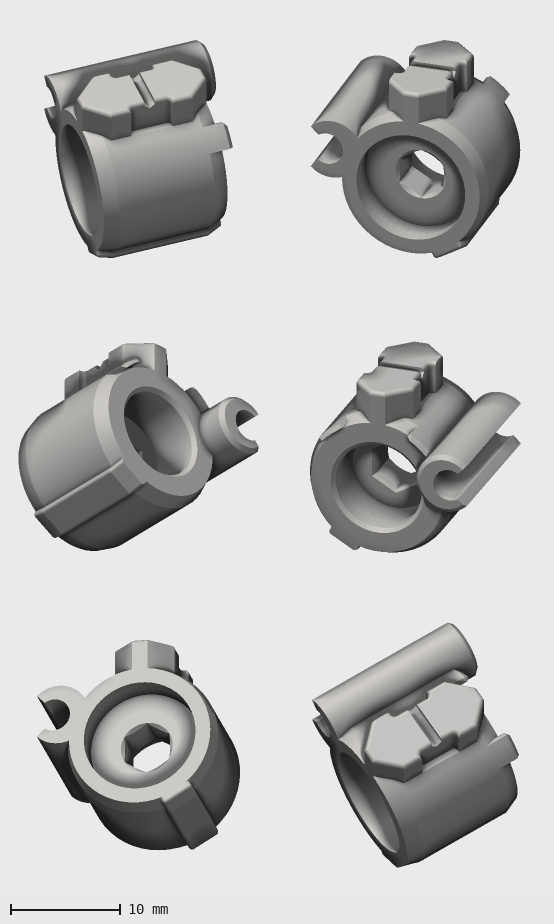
import cadquery as cq
import math

body_length = 12.0
edge_break = 0.4

ring_radius = 7.0
front_taper_length = 1.45
front_taper_drop = 0.42
rear_taper_length = 1.36
rear_taper_drop = 0.61
front_bore_radius = 5.2
front_bore_depth = 2.99

rear_bore_diameter = 8.3
rear_bore_mouth_diameter = 9.0
rear_bore_depth = 5.0
hex_flats = 4.19
hex_chamfer = 0.23

clip_length = 15.0
clip_radius = 2.83
clip_x = -7.58
clip_z = 2.73
clip_hole_radius = 1.51
clip_hole_x = -8.01

block_half_width = 2.78
block_top = 9.47
block_corner_cut = 2.06
block_root = 4.99
grip_length = 3.95
grip_depth = 0.6
grip_floor = math.sqrt(ring_radius**2 - block_half_width**2)
notch_half_width = 0.5
notch_wall = 0.4
notch_depth = 0.8

pad_height = 7.5
pad_half_width = 1.53
pad_root = 5.98
pad_fillet = 0.3
pad_angle = 30

tooth_tip = 13.0
tooth_inner_radius = ring_radius - edge_break
tooth_slant = 30
tooth_low_side = 1.18
tooth_high_side = ring_radius / 2

middle_y = body_length / 2
taper_end = body_length - rear_taper_length
hex_corner_ratio = 1 / math.cos(math.pi / 6)
select_margin = 0.02


def revolved(points):
    """Solid of revolution about the Y axis from (radius, y) points."""
    return cq.Workplane("XY").polyline(points).close().revolve(360, (0, 0, 0), (0, 1, 0))


def section(y):
    """Sketch plane across the ring axis; a negative extrusion runs towards the rear."""
    return cq.Workplane("XZ", origin=(0, y, 0))


def hexagon(y, flats):
    """Hexagon sketch with corners pointing up and down."""
    return section(y).transformed(rotate=(0, 0, 90)).polygon(6, flats * hex_corner_ratio)


def make_ring():
    return revolved([
        (0, 0),
        (ring_radius - front_taper_drop, 0),
        (ring_radius, front_taper_length),
        (ring_radius, taper_end),
        (ring_radius - rear_taper_drop, body_length),
        (0, body_length),
    ])


def make_bores():
    rear_radius = rear_bore_diameter / 2
    mouth_radius = rear_bore_mouth_diameter / 2
    rear_floor = body_length - rear_bore_depth
    rear_bore = revolved([
        (0, rear_floor),
        (rear_radius, rear_floor),
        (rear_radius, body_length - (mouth_radius - rear_radius)),
        (mouth_radius, body_length),
        (0, body_length),
    ])
    front_bore = section(0).circle(front_bore_radius).extrude(-front_bore_depth)
    hex_hole = hexagon(0, hex_flats).extrude(-body_length)
    rear_chamfer = hexagon(rear_floor, hex_flats + 2 * hex_chamfer).extrude(hex_chamfer, taper=45)
    hex_corner_radius = hex_flats / 2 * hex_corner_ratio
    countersink = revolved([
        (0, front_bore_depth),
        (hex_corner_radius, front_bore_depth),
        (0, front_bore_depth + hex_corner_radius),
    ])
    return front_bore.union(hex_hole).union(countersink).union(rear_chamfer).union(rear_bore)


def make_clip():
    barrel = section(0).center(clip_x, clip_z).circle(clip_radius).extrude(-clip_length)
    return barrel.faces(">Y").chamfer(edge_break)


def make_clip_opening():
    hole = section(0).center(clip_hole_x, clip_z).circle(clip_hole_radius).extrude(-clip_length)
    reach = 2 * clip_radius
    mouth = (
        section(0)
        .center(clip_x, clip_z)
        .polyline([(0, 0), (-reach, reach), (-reach, -reach)])
        .close()
        .extrude(-clip_length)
    )
    return hole.union(mouth)


def make_block():
    block = (
        cq.Workplane("XY", origin=(0, middle_y, block_root))
        .rect(2 * block_half_width, body_length)
        .extrude(block_top - block_root)
        .edges("|Z")
        .chamfer(block_corner_cut)
    )

    rounded_block = block.faces(">Z").edges().fillet(edge_break)
    sharp_block = block.faces(">Z").edges("not <X").fillet(edge_break)
    front_half = cq.Workplane("XY").box(
        2 * block_half_width, middle_y, 2 * block_top, centered=(True, False, True)
    )
    block = rounded_block.cut(front_half).union(sharp_block.intersect(front_half))
    return block.intersect(make_grip_frame())


def make_grips():
    """Finger recesses in both long sides of the block, overshooting the sides."""
    recess_width = 2 * grip_depth
    recess = (
        cq.Workplane("XY", origin=(block_half_width, middle_y, grip_floor))
        .rect(recess_width, grip_length)
        .extrude(block_top - grip_floor)
        .edges("|Z and <X")
        .fillet(edge_break)
    )
    return recess.union(recess.mirror("YZ"))


def make_grip_frame():
    """Oversized block with the finger recesses and their rounded rims."""
    frame = (
        cq.Workplane("XY", origin=(0, middle_y, block_root))
        .rect(2 * (block_half_width + grip_depth), body_length)
        .extrude(block_top - block_root)
        .cut(make_grips())
    )
    inside_x = block_half_width + grip_depth - select_margin
    rim = cq.selectors.BoxSelector(
        (-inside_x, select_margin, block_top - select_margin),
        (inside_x, body_length - select_margin, block_top + select_margin),
    )
    return frame.edges(rim).fillet(edge_break)


def make_notch():
    """V-bottomed notch across the top of the block."""
    return (
        cq.Workplane("YZ", origin=(-block_half_width, middle_y, block_top))
        .polyline([
            (-notch_half_width, 0),
            (-notch_half_width, -notch_wall),
            (0, -notch_depth),
            (notch_half_width, -notch_wall),
            (notch_half_width, 0),
        ])
        .close()
        .extrude(2 * block_half_width)
    )


def make_pad():
    """Pad that follows the tapers of the ring, built pointing down and then turned."""
    pad = (
        cq.Workplane("YZ", origin=(-pad_half_width, 0, 0))
        .polyline([
            (0, -pad_root),
            (0, front_taper_drop - pad_height),
            (front_taper_length, -pad_height),
            (taper_end, -pad_height),
            (body_length, rear_taper_drop - pad_height),
            (body_length, -pad_root),
        ])
        .close()
        .extrude(2 * pad_half_width)
    )
    long_edges = cq.selectors.BoxSelector(
        (-2 * pad_half_width, front_taper_drop, -2 * pad_height),
        (2 * pad_half_width, 2 * body_length, -ring_radius + front_taper_drop),
    )
    rounded_edges = pad.edges(long_edges).edges("not |X").add(pad.faces("<Y").edges())
    pad = rounded_edges.fillet(pad_fillet)
    return pad.rotate((0, 0, 0), (0, 1, 0), -pad_angle)


def make_tooth():
    blade = revolved([
        (tooth_inner_radius, taper_end),
        (ring_radius, taper_end),
        (ring_radius, tooth_tip - edge_break),
        (tooth_inner_radius, tooth_tip),
    ])
    side_walls = (
        cq.Workplane("YZ")
        .polyline([
            (taper_end, tooth_low_side),
            (taper_end, tooth_high_side),
            (tooth_tip - edge_break, tooth_high_side),
            (tooth_tip, tooth_high_side - edge_break),
            (tooth_tip, tooth_low_side),
        ])
        .close()
        .extrude(ring_radius)
        .rotate((0, 0, 0), (0, 1, 0), -tooth_slant)
    )
    return blade.intersect(side_walls)


tooth = make_tooth()
result = (
    make_ring()
    .union(make_clip())
    .union(make_block())
    .union(make_pad())
    .cut(make_bores())
    .cut(make_clip_opening())
    .cut(make_grips())
    .cut(make_notch())
    .union(tooth)
    .union(tooth.mirror("YZ"))
)